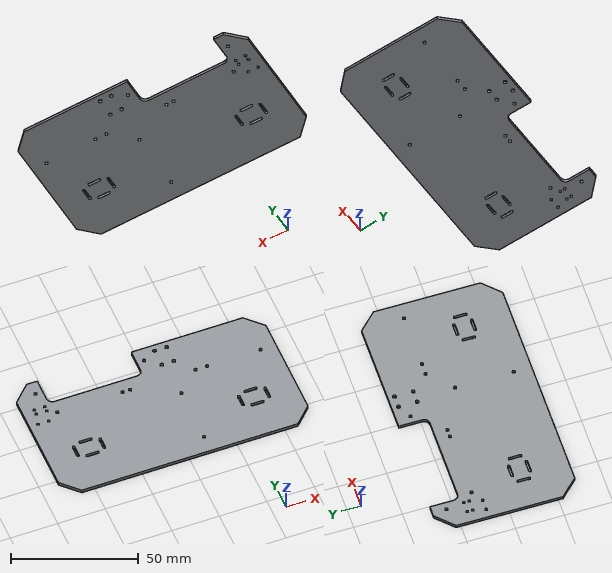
import cadquery as cq

length = 105.0
width = 58.0
thickness = 1.6
corner_chamfer = 7.0

notch_left = -41.0
notch_right = -1.4
notch_depth = 12.1
notch_radius = 2.5

small_diameter = 1.01
medium_diameter = 1.2
large_diameter = 1.4

large_pattern_center = (9.82, 22.47)
large_pitch_x = 5.08
large_pitch_y = 7.62

small_pair_pitch = 4.45
small_rows = [(-45.38, 15.78), (-45.38, 13.57), (-46.68, 8.48)]

medium_row_y = 11.45
medium_row_x = [-39.6, -12.1, -8.9, 18.6, 23.5, 45.95]
notch_side_holes = [(-44.05, 23.2), (1.65, 23.2)]
middle_holes = [(9.0, 2.45), (9.0, -21.6)]

slot_length = 5.5
slot_width = 1.01
slot_group_x = 34.73
slot_group_y = -9.75
slot_offset_x = 5.55
slot_offset_y = 3.65


def make_plate():
    """Flat rectangular plate with four chamfered corners."""
    plate = cq.Workplane("XY").rect(length, width).extrude(thickness)
    return plate.edges("|Z").chamfer(corner_chamfer)


def make_notch():
    """Cutter for the edge notch; only its two inner corners are rounded."""
    notch_width = notch_right - notch_left
    notch = cq.Workplane("XY").box(notch_width, notch_depth, thickness, centered=False)
    notch = notch.edges("|Z and <Y").fillet(notch_radius)
    return notch.translate((notch_left, width / 2 - notch_depth, 0))


def make_holes(points, diameter):
    """Cutters for through holes of one diameter."""
    return cq.Workplane("XY").pushPoints(points).circle(diameter / 2).extrude(thickness)


def make_slots(points, angle):
    """Cutters for round-ended through slots turned by angle from the X axis."""
    return cq.Workplane("XY").pushPoints(points).slot2D(slot_length, slot_width, angle).extrude(thickness)


def large_points():
    center_x, center_y = large_pattern_center
    return [
        (center_x + side_x * large_pitch_x / 2, center_y + side_y * large_pitch_y / 2)
        for side_x in (-1, 1)
        for side_y in (-1, 1)
    ]


def small_points():
    return [
        (center_x + side * small_pair_pitch / 2, row_y)
        for center_x, row_y in small_rows
        for side in (-1, 1)
    ]


def medium_points():
    return [(x, medium_row_y) for x in medium_row_x] + notch_side_holes + middle_holes


result = make_plate().cut(make_notch())
result = result.cut(make_holes(large_points(), large_diameter))
result = result.cut(make_holes(small_points(), small_diameter))
result = result.cut(make_holes(medium_points(), medium_diameter))

for group_x in (-slot_group_x, slot_group_x):
    along_x = [(group_x, slot_group_y + side * slot_offset_y) for side in (-1, 1)]
    along_y = [(group_x + side * slot_offset_x, slot_group_y) for side in (-1, 1)]
    result = result.cut(make_slots(along_x, 0))
    result = result.cut(make_slots(along_y, 90))